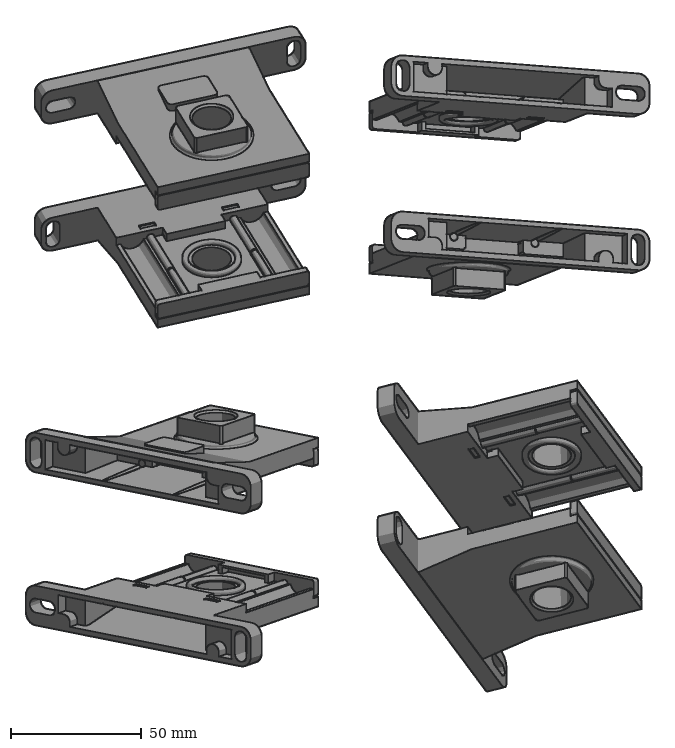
import cadquery as cq

LENGTH = 73.3
FLANGE_WIDTH = 108.0
TOTAL_HEIGHT = 84.8

INNER_Z = 22.5
FLOOR_Z = 25.9
PLATE_TOP_Z = 33.5
FLANGE_TOP_Z = 38.2
HUB_TOP_Z = TOTAL_HEIGHT / 2

FLANGE_THICKNESS = 7.0
FLANGE_CORNER_R = 4.8
FLANGE_MID_Z = (INNER_Z + FLANGE_TOP_Z) / 2
SLOT_WIDTH = 5.5
SLOT_LENGTH = 12.0
UPRIGHT_SLOT_Y = 49.1
FLAT_SLOT_Y = -46.0

BODY_WIDTH = 61.9
BODY_CORNER_R = 0.3
TAPER_START_Z = 38.0
TAPER_END_X = 29.4

TAB_START_X = 16.4
TAB_WIDTH = 20.3
TAB_TOP_Z = 36.6
TAB_CORNER_R = 1.7

POCKET_MIN_Y = -38.3
POCKET_MAX_Y = 44.6
POCKET_MIN_Z = 24.4
POCKET_MAX_Z = 36.1
SHALLOW_DEPTH = 4.6
DEEP_HALF_WIDTH = 28.8
DEEP_END_X = TAPER_END_X
DEEP_END_MIN_Z = 25.4
DEEP_END_MAX_Z = POCKET_MAX_Z - (TAPER_START_Z - PLATE_TOP_Z)
BOSS_Y = 35.7
BOSS_R = 2.97
BOSS_Z = 34.6

MID_HALF_WIDTH = 12.0
MID_RECESS_X = 32.1
SIDE_RECESS_X = 27.6
RECESS_END_X = 70.5
BLOCK_START_X = 24.8
BLOCK_TOP_Z = 30.6
BLOCK_CORNER = 0.8

TROUGH_Y = 24.46
TROUGH_WIDTH = 9.4
TROUGH_DEPTH = 3.2

PIN_Y = 17.0
PIN_HOLE_D = 3.2
PIN_D = 3.0
PIN_TAIL_D = 2.7
PIN_STEP_X = 50.2
PIN_GROOVE_D = 2.5
PIN_GROOVE_LENGTH = 0.3
WINDOW_X = 24.3
WINDOW_LENGTH = 2.0
WINDOW_WIDTH = 6.3
WINDOW_DEPTH = 0.5

HUB_X = 49.2
HUB_SQUARE = 21.8
HUB_SQUARE_CHAMFER = 0.8
HUB_SHAFT_D = 22.7
HUB_BORE_D = 14.9
HUB_BORE_CHAMFER = 0.9
HUB_COLLAR_BASE_D = 32.1
HUB_COLLAR_D = 30.5
HUB_COLLAR_TOP_D = 28.1
HUB_LIP_Z = 24.0
HUB_LIP_INNER_D = 17.9
HUB_END_Z = 25.5

END_PLATE_MAX_Z = 29.3
END_SEAT_MAX_Z = 29.6
END_PLATE_ROUND = 1.1
END_TAB_START_X = 66.7
END_TAB_HALF_WIDTH = 12.0
END_TAB_THICKNESS = 0.9
END_TAB_LEG_WIDTH = 1.8


def box(x0, x1, y0, y1, z0, z1):
    """Box between two corners."""
    return cq.Workplane("XY").box(x1 - x0, y1 - y0, z1 - z0, centered=False).translate((x0, y0, z0))


def rod(diameter, x0, x1, y, z):
    """Cylinder along X."""
    return cq.Workplane("YZ", origin=(x0, y, z)).circle(diameter / 2).extrude(x1 - x0)


def side_profile(points, half_width):
    """Outline in X and Z, extruded to both sides of Y = 0."""
    return cq.Workplane("XZ").polyline(points).close().extrude(half_width, both=True)


def make_flange():
    flange = box(0, FLANGE_THICKNESS, -FLANGE_WIDTH / 2, FLANGE_WIDTH / 2, INNER_Z, FLANGE_TOP_Z)
    flange = flange.edges("|X").fillet(FLANGE_CORNER_R)
    for y, angle in ((UPRIGHT_SLOT_Y, 90), (FLAT_SLOT_Y, 0)):
        slot = (
            cq.Workplane("YZ", origin=(0, y, FLANGE_MID_Z))
            .slot2D(SLOT_LENGTH, SLOT_WIDTH, angle)
            .extrude(FLANGE_THICKNESS)
        )
        flange = flange.cut(slot)
    return flange


def make_plate():
    outline = [
        (FLANGE_THICKNESS, INNER_Z),
        (LENGTH, INNER_Z),
        (LENGTH, PLATE_TOP_Z),
        (TAPER_END_X, PLATE_TOP_Z),
        (FLANGE_THICKNESS, TAPER_START_Z),
    ]
    return side_profile(outline, BODY_WIDTH / 2)


def round_flange_corners(housing):
    """Small rounds where the sides of the plate run into the flange."""
    for side in (-1, 1):
        corner = cq.selectors.NearestToPointSelector(
            (FLANGE_THICKNESS, side * BODY_WIDTH / 2, FLANGE_MID_Z)
        )
        housing = housing.edges("|Z").edges(corner).fillet(BODY_CORNER_R)
    return housing


def make_tab():
    tab = box(TAB_START_X, TAPER_END_X, -TAB_WIDTH / 2, TAB_WIDTH / 2, PLATE_TOP_Z, TAB_TOP_Z)
    return tab.edges("|Z").fillet(TAB_CORNER_R)


def make_pocket():
    """Wide shallow opening plus a deep tapered stretch, less two bosses and two pin blocks."""
    outline = [
        (0, POCKET_MIN_Z),
        (DEEP_END_X, DEEP_END_MIN_Z),
        (DEEP_END_X, DEEP_END_MAX_Z),
        (FLANGE_THICKNESS, POCKET_MAX_Z),
        (0, POCKET_MAX_Z),
    ]
    shallow = side_profile(outline, FLANGE_WIDTH / 2)
    shallow = shallow.intersect(box(0, SHALLOW_DEPTH, POCKET_MIN_Y, POCKET_MAX_Y, INNER_Z, FLANGE_TOP_Z))
    for y in (-BOSS_Y, BOSS_Y):
        boss_web = box(0, SHALLOW_DEPTH, y - BOSS_R, y + BOSS_R, BOSS_Z, POCKET_MAX_Z)
        shallow = shallow.cut(rod(2 * BOSS_R, 0, SHALLOW_DEPTH, y, BOSS_Z)).cut(boss_web)
    wall_fill = box(0, SHALLOW_DEPTH, POCKET_MIN_Y, -BOSS_Y, BOSS_Z - BOSS_R, POCKET_MAX_Z)
    shallow = shallow.cut(wall_fill)

    deep = side_profile(outline, DEEP_HALF_WIDTH)
    for side in (-1, 1):
        y0, y1 = sorted((side * MID_HALF_WIDTH, side * BODY_WIDTH / 2))
        block = box(BLOCK_START_X, DEEP_END_X, y0, y1, INNER_Z, BLOCK_TOP_Z)
        inner_edge = "<Y" if side > 0 else ">Y"
        block = block.faces(inner_edge).edges(">Z").chamfer(BLOCK_CORNER)
        deep = deep.cut(block)
    return shallow.union(deep)


def make_recess():
    """Recess in the inner face, with the end plate's seat and a trough along each side."""
    half_width = BODY_WIDTH / 2
    recess = box(MID_RECESS_X, RECESS_END_X, -half_width, half_width, INNER_Z, FLOOR_Z)
    seat = box(RECESS_END_X, LENGTH, -half_width, half_width, INNER_Z, END_SEAT_MAX_Z)
    recess = recess.union(seat)
    trough_r = (TROUGH_WIDTH**2 / 4 + TROUGH_DEPTH**2) / (2 * TROUGH_DEPTH)
    for side in (-1, 1):
        y0, y1 = sorted((side * MID_HALF_WIDTH, side * half_width))
        recess = recess.union(box(SIDE_RECESS_X, MID_RECESS_X, y0, y1, INNER_Z, FLOOR_Z))
        trough = rod(
            2 * trough_r, SIDE_RECESS_X, RECESS_END_X, side * TROUGH_Y, FLOOR_Z + TROUGH_DEPTH - trough_r
        )
        recess = recess.union(trough)
    return recess


def make_housing(with_tab):
    housing = round_flange_corners(make_flange().union(make_plate()))
    if with_tab:
        housing = housing.union(make_tab())
    housing = housing.cut(make_pocket()).cut(make_recess())
    for side in (-1, 1):
        y = side * PIN_Y
        housing = housing.cut(rod(PIN_HOLE_D, 0, RECESS_END_X, y, FLOOR_Z))
        window = box(
            WINDOW_X - WINDOW_LENGTH / 2, WINDOW_X + WINDOW_LENGTH / 2,
            y - WINDOW_WIDTH / 2, y + WINDOW_WIDTH / 2,
            INNER_Z, INNER_Z + WINDOW_DEPTH,
        )
        housing = housing.cut(window)
    shaft_hole = (
        cq.Workplane("XY", origin=(HUB_X, 0, FLOOR_Z)).circle(HUB_SHAFT_D / 2).extrude(PLATE_TOP_Z - FLOOR_Z)
    )
    return housing.cut(shaft_hole)


def make_hub():
    """Square head on a round collar, with a shaft that ends in a rounded lip."""
    shaft_r = HUB_SHAFT_D / 2
    lip_inner_r = HUB_LIP_INNER_D / 2
    lip_r = (shaft_r - lip_inner_r) / 2
    collar_base_r = HUB_COLLAR_BASE_D / 2
    collar_r = HUB_COLLAR_D / 2
    collar_top_r = HUB_COLLAR_TOP_D / 2
    collar_step_z = PLATE_TOP_Z + collar_base_r - collar_r
    collar_top_z = collar_step_z + collar_r - collar_top_r
    shaft = (
        cq.Workplane("XZ")
        .moveTo(0, HUB_END_Z)
        .lineTo(lip_inner_r, HUB_END_Z)
        .lineTo(lip_inner_r, HUB_LIP_Z + lip_r)
        .radiusArc((shaft_r, HUB_LIP_Z + lip_r), -lip_r)
        .lineTo(shaft_r, PLATE_TOP_Z)
        .lineTo(collar_base_r, PLATE_TOP_Z)
        .radiusArc((collar_r, collar_step_z), collar_base_r - collar_r)
        .radiusArc((collar_top_r, collar_top_z), collar_top_r - collar_r)
        .lineTo(0, collar_top_z)
        .close()
        .revolve(360, (0, 0, 0), (0, 1, 0))
    )
    square = (
        cq.Workplane("XY", origin=(0, 0, PLATE_TOP_Z))
        .rect(HUB_SQUARE, HUB_SQUARE)
        .extrude(HUB_TOP_Z - PLATE_TOP_Z)
        .edges("|Z")
        .chamfer(HUB_SQUARE_CHAMFER)
    )
    bore = cq.Workplane("XY").circle(HUB_BORE_D / 2).extrude(HUB_TOP_Z)
    hub = shaft.union(square).cut(bore)
    hub = hub.faces(">Z").edges("%CIRCLE").chamfer(HUB_BORE_CHAMFER)
    return hub.translate((HUB_X, 0, 0))


def make_pin(side):
    """Pin with a thin groove between its thick stretch and its tail."""
    y = side * PIN_Y
    tail_start_x = PIN_STEP_X + PIN_GROOVE_LENGTH
    thick = rod(PIN_D, BLOCK_START_X, PIN_STEP_X, y, FLOOR_Z)
    groove = rod(PIN_GROOVE_D, PIN_STEP_X, tail_start_x, y, FLOOR_Z)
    tail = rod(PIN_TAIL_D, tail_start_x, RECESS_END_X, y, FLOOR_Z)
    return thick.union(groove).union(tail)


def make_end_plate():
    """Plate across the end of the recess, with a tab that stands on two legs."""
    half_width = BODY_WIDTH / 2
    plate = box(RECESS_END_X, LENGTH, -half_width, half_width, INNER_Z, END_PLATE_MAX_Z)
    plate = plate.edges("|X").fillet(END_PLATE_ROUND)
    tab = box(END_TAB_START_X, RECESS_END_X, -END_TAB_HALF_WIDTH, END_TAB_HALF_WIDTH, INNER_Z, FLOOR_Z)
    under_tab_half_width = END_TAB_HALF_WIDTH - END_TAB_LEG_WIDTH
    under_tab = box(
        END_TAB_START_X, RECESS_END_X,
        -under_tab_half_width, under_tab_half_width,
        INNER_Z + END_TAB_THICKNESS, FLOOR_Z,
    )
    return plate.union(tab.cut(under_tab))


def make_half(with_tab):
    pins = [make_pin(side) for side in (-1, 1)]
    return [make_housing(with_tab), make_hub(), make_end_plate(), *pins]


upper_half = make_half(with_tab=True)
lower_half = [body.rotate((0, 0, 0), (1, 0, 0), 180) for body in make_half(with_tab=False)]

result = cq.Compound.makeCompound([body.val() for body in upper_half + lower_half])